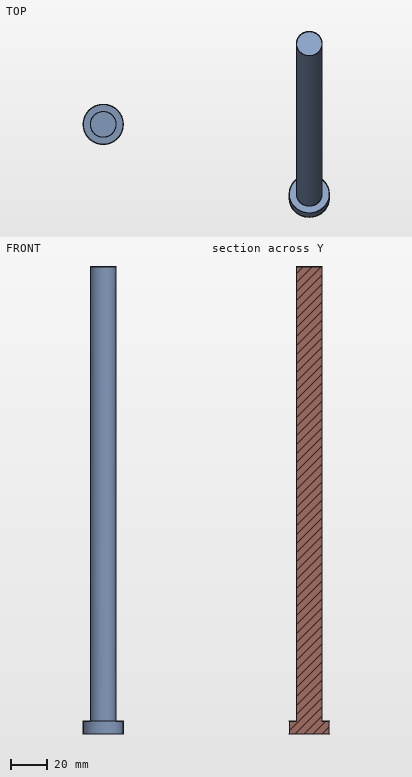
import cadquery as cq

total_length = 257.0
head_diameter = 22.0
head_height = 7.2
shank_diameter = 14.1
shank_length = total_length - head_height

head = cq.Workplane("XY").circle(head_diameter / 2).extrude(head_height)
shank = (
    cq.Workplane("XY")
    .workplane(offset=head_height)
    .circle(shank_diameter / 2)
    .extrude(shank_length)
)

result = head.union(shank)